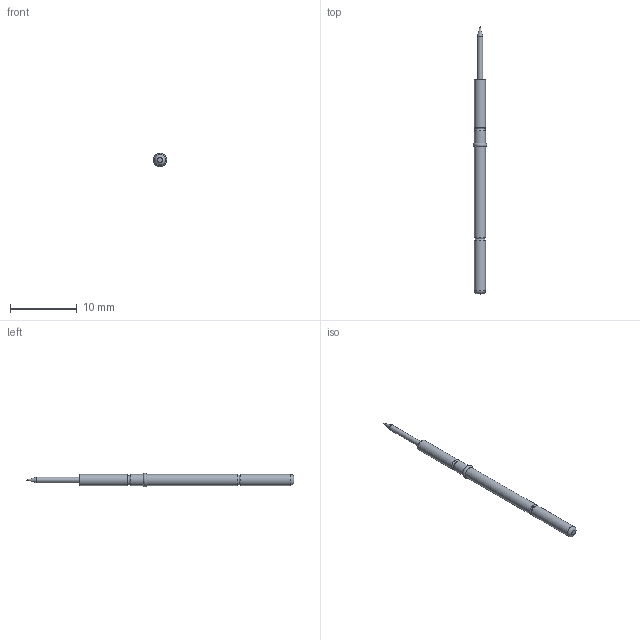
import cadquery as cq
import math

total_length = 40.0
needle_length = 8.0
point_length = 1.5
upper_groove_center = 15.35
collar_center = 17.75
lower_groove_center = 31.78

needle_radius = 0.4
barrel_radius = 0.825
collar_radius = 1.0

collar_bead_radius = 0.28
upper_groove_width = 0.5
lower_groove_width = 0.4
groove_depth = 0.15
tail_round_radius = 0.45

tip_y = total_length / 2
tail_y = -total_length / 2
barrel_top_y = tip_y - needle_length


def make_needle():
    """Slender rod ending in a sharp conical point."""
    shoulder_y = tip_y - point_length
    return (
        cq.Workplane("XY")
        .moveTo(0, barrel_top_y)
        .lineTo(needle_radius, barrel_top_y)
        .lineTo(needle_radius, shoulder_y)
        .lineTo(0, tip_y)
        .close()
        .revolve(360, (0, 0, 0), (0, 1, 0))
    )


def make_barrel():
    """Long cylinder with a rounded edge at its tail."""
    arc_middle = tail_round_radius * (1 - math.sqrt(0.5))
    return (
        cq.Workplane("XY")
        .moveTo(0, tail_y)
        .lineTo(barrel_radius - tail_round_radius, tail_y)
        .threePointArc(
            (barrel_radius - arc_middle, tail_y + arc_middle),
            (barrel_radius, tail_y + tail_round_radius),
        )
        .lineTo(barrel_radius, barrel_top_y)
        .lineTo(0, barrel_top_y)
        .close()
        .revolve(360, (0, 0, 0), (0, 1, 0))
    )


def make_collar():
    """Ring around the barrel with a half-round outer edge."""
    center_y = tip_y - collar_center
    bead_center_radius = collar_radius - collar_bead_radius
    return (
        cq.Workplane("XY")
        .moveTo(0, center_y - collar_bead_radius)
        .lineTo(bead_center_radius, center_y - collar_bead_radius)
        .threePointArc(
            (collar_radius, center_y),
            (bead_center_radius, center_y + collar_bead_radius),
        )
        .lineTo(0, center_y + collar_bead_radius)
        .close()
        .revolve(360, (0, 0, 0), (0, 1, 0))
    )


def make_groove(center_distance, width):
    """Cutter for a shallow ring groove with a V section."""
    center_y = tip_y - center_distance
    return (
        cq.Workplane("XY")
        .moveTo(barrel_radius, center_y - width / 2)
        .lineTo(barrel_radius - groove_depth, center_y)
        .lineTo(barrel_radius, center_y + width / 2)
        .lineTo(collar_radius, center_y + width / 2)
        .lineTo(collar_radius, center_y - width / 2)
        .close()
        .revolve(360, (0, 0, 0), (0, 1, 0))
    )


result = make_barrel().union(make_needle()).union(make_collar())
result = result.cut(make_groove(upper_groove_center, upper_groove_width))
result = result.cut(make_groove(lower_groove_center, lower_groove_width))